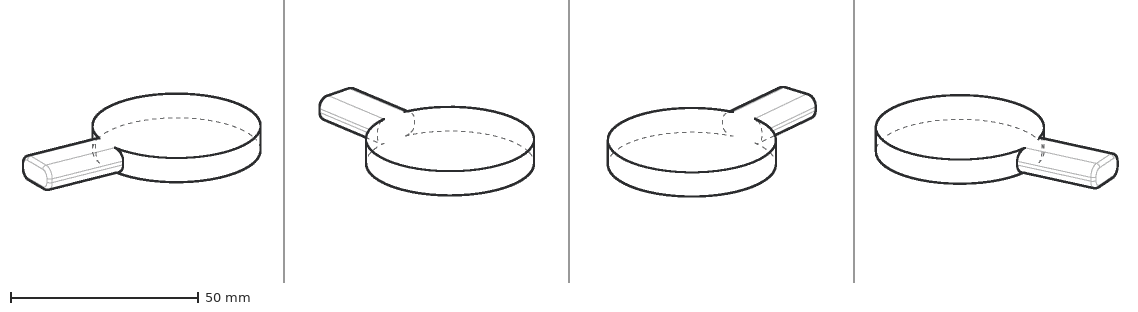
import cadquery as cq

total_length = 67.6
disc_diameter = 44.95
thickness = 7.0
handle_width = 13.45
handle_side_radius = 3.0
handle_end_radius = 1.0

disc_radius = disc_diameter / 2
handle_reach = total_length - disc_radius


def make_disc():
    return cq.Workplane("XY").circle(disc_radius).extrude(thickness)


def make_handle():
    """Rounded bar from the disc centre to the free end."""
    bar = (
        cq.Workplane("XY")
        .center(0, -handle_reach / 2)
        .rect(handle_width, handle_reach)
        .extrude(thickness)
    )
    bar = bar.edges("|Y").fillet(handle_side_radius)
    return bar.faces("<Y").edges().fillet(handle_end_radius)


result = make_disc().union(make_handle())